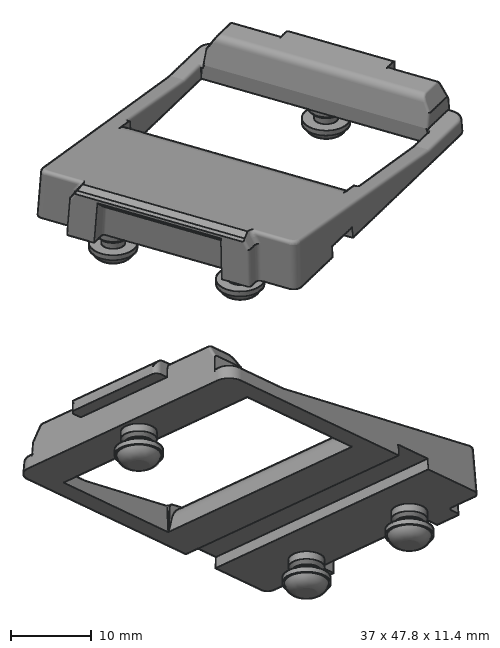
import cadquery as cq
import math

TOLERANCE = 0.005

WIDTH = 37.0
LENGTH = 47.8
DRAFT = 3.0
DRAFT_RATIO = math.tan(math.radians(DRAFT))

PLATE_FRONT = 2.0
PLATE_BACK = 46.15
FRONT_CORNER_RADIUS = 1.1
BACK_CORNER_RADIUS = 2.05
RAIL_HEIGHT = 2.0
RAMP_START = 36.3
RIDGE_Y = 1.8
RIDGE_HEIGHT = 6.75
RAMP_RATIO = (RIDGE_HEIGHT - RAIL_HEIGHT) / (RAMP_START - RIDGE_Y)
EDGE_RADIUS = 0.5

WINDOW_WIDTH = 31.95
WINDOW_FRONT = 22.05
WINDOW_BACK = 40.4
WINDOW_CORNER_RADIUS = 0.4
SILL_START = 18.95
SILL_LEAN = 14.0
SILL_RADIUS = 3.1
SILL_WIDTH = 31.65

BAR_HEIGHT = 5.9
BAR_LEAN = 1.15
BAR_FRONT_RADIUS = 1.15
BAR_BACK_RADIUS = 0.65
BAR_SHOULDER = 3.9
BAR_TOP_WIDTH = 29.05
BAR_END_RADIUS = 0.35
TAB_WIDTH = 15.0
TAB_BOTTOM = 3.85
TAB_ROOT = 44.45
TAB_CORNER_RADIUS = 0.75
TAB_TOP_RADIUS = 1.15

BUMP_WIDTH = 25.9
BUMP_TOP_WIDTH = 23.25
BUMP_SHOULDER = 5.1
BUMP_ROOT = 4.3
BUMP_FACE_HEIGHT = 6.05
BUMP_BEVEL = 0.35
BUMP_ROOT_RADIUS = 0.55
BUMP_EDGE_RADIUS = 0.4
RECESS_WIDTH = 17.95
RECESS_DEPTH = 2.3
RECESS_WALL_HEIGHT = 4.0
RECESS_ROOF_HEIGHT = 5.4
RECESS_LIP_DEPTH = 0.55
RECESS_CORNER_RADIUS = 0.35

NOTCH_FRONT = 11.2
NOTCH_BACK = 16.35
NOTCH_HEIGHT = 1.55

PIN_SPACING = 8.95
FRONT_PIN_Y = 4.85
BACK_PIN_Y = 43.3
PIN_POSITIONS = [(-PIN_SPACING, FRONT_PIN_Y), (PIN_SPACING, FRONT_PIN_Y), (0, BACK_PIN_Y)]
COLLAR_DIAMETER = 4.5
COLLAR_BEVEL = 0.5
COLLAR_BOTTOM = -1.55
SHAFT_DIAMETER = 3.0
FLANGE_DIAMETER = 6.0
FLANGE_TOP = -2.55
FLANGE_BOTTOM = -3.25
DOME_DIAMETER = 5.55
DOME_FLAT_DIAMETER = 2.7
DOME_MID_DIAMETER = 4.8
DOME_MID = -4.05
PIN_BOTTOM = -4.65


def side_prism(points, width):
    """Prism centred on X = 0 from a (Y, Z) outline."""
    return cq.Workplane("YZ").polyline(points).close().extrude(width / 2, both=True)


def end_prism(half_points, y_back):
    """Prism from Y = 0 to y_back from the right half of a symmetric (X, Z) outline."""
    mirrored = [(-x, z) for x, z in reversed(half_points)]
    return cq.Workplane("XZ").polyline(half_points + mirrored).close().extrude(-y_back)


def drafted_block(width, y_front, y_back, draft):
    """Block standing on Z = 0 whose walls lean inward, or outward for a negative draft."""
    return (
        cq.Workplane("XY", origin=(0, (y_front + y_back) / 2, 0))
        .rect(width, y_back - y_front)
        .extrude(RIDGE_HEIGHT, taper=draft)
    )


def ramp_height(y):
    """Height of the ramp surface at a given Y."""
    return RAIL_HEIGHT + RAMP_RATIO * (RAMP_START - y)


def is_on_top(edge):
    """True for an edge that stays on the top of the frame, except the line where the ramp starts."""
    middle = edge.Center()
    is_ramp_line = abs(middle.y - RAMP_START) < TOLERANCE and abs(middle.x) < WINDOW_WIDTH / 2
    return edge.BoundingBox().zmin > RAIL_HEIGHT - TOLERANCE and not is_ramp_line


def is_on_window_rim(edge):
    """True for a top edge along the sides or the front corners of the window."""
    middle = edge.Center()
    is_at_side = abs(abs(middle.x) - WINDOW_WIDTH / 2) < WINDOW_CORNER_RADIUS
    is_before_back_corners = middle.y < WINDOW_BACK
    return is_on_top(edge) and is_at_side and is_before_back_corners


def make_plate():
    """Drafted plate, level at the rear and rising as a ramp to the front ridge."""
    plate = drafted_block(WIDTH, PLATE_FRONT, PLATE_BACK, DRAFT)
    plate = plate.edges("not(#Z)").edges("<Y").fillet(FRONT_CORNER_RADIUS)
    plate = plate.edges("not(#Z)").edges(">Y").fillet(BACK_CORNER_RADIUS)
    below_top = side_prism(
        [(0, 0), (0, ramp_height(0)), (RAMP_START, RAIL_HEIGHT), (LENGTH, RAIL_HEIGHT), (LENGTH, 0)],
        WIDTH,
    )
    return plate.intersect(below_top).edges().filter(is_on_top).fillet(EDGE_RADIUS)


def cut_window(plate):
    """Cut the window, which widens upward, and round the top edges of its sides."""
    window = drafted_block(WINDOW_WIDTH, WINDOW_FRONT, WINDOW_BACK, -DRAFT)
    window = window.edges("not(#Z)").fillet(WINDOW_CORNER_RADIUS)
    return plate.cut(window).edges().filter(is_on_window_rim).fillet(EDGE_RADIUS)


def make_sill_cutter():
    """Material above a large round that leaves the ramp tangentially and ends in a leaning wall."""
    start_angle = math.atan(RAMP_RATIO)
    end_angle = math.radians(90 - SILL_LEAN)
    start_height = ramp_height(SILL_START)
    axis_y = SILL_START - SILL_RADIUS * math.sin(start_angle)
    axis_z = start_height - SILL_RADIUS * math.cos(start_angle)

    def point_on_round(angle):
        return axis_y + SILL_RADIUS * math.sin(angle), axis_z + SILL_RADIUS * math.cos(angle)

    return (
        cq.Workplane("YZ")
        .moveTo(SILL_START, start_height)
        .threePointArc(point_on_round((start_angle + end_angle) / 2), point_on_round(end_angle))
        .lineTo(WINDOW_FRONT, 0)
        .lineTo(WINDOW_FRONT, RIDGE_HEIGHT)
        .lineTo(SILL_START, RIDGE_HEIGHT)
        .close()
        .extrude(SILL_WIDTH / 2, both=True)
    )


def is_bar_corner(edge):
    """True for the outline edges of the bar ends above the rails."""
    middle = edge.Center()
    is_shoulder_line = abs(middle.z - BAR_SHOULDER) < TOLERANCE
    is_at_end = abs(middle.x) > TAB_WIDTH / 2
    return is_at_end and edge.BoundingBox().zmin > RAIL_HEIGHT - TOLERANCE and not is_shoulder_line


def make_bar():
    """Raised bar across the rear, with slanted ends and a rounded top."""
    foot_y = WINDOW_BACK + DRAFT_RATIO * RAIL_HEIGHT
    profile = side_prism(
        [
            (WINDOW_BACK, 0),
            (foot_y, RAIL_HEIGHT),
            (foot_y + BAR_LEAN, BAR_HEIGHT),
            (PLATE_BACK - DRAFT_RATIO * BAR_HEIGHT, BAR_HEIGHT),
            (PLATE_BACK, 0),
        ],
        WIDTH,
    )
    ends = end_prism(
        [
            (WINDOW_WIDTH / 2, 0),
            (WINDOW_WIDTH / 2 - DRAFT_RATIO * BAR_SHOULDER, BAR_SHOULDER),
            (BAR_TOP_WIDTH / 2, BAR_HEIGHT),
        ],
        LENGTH,
    )
    bar = profile.intersect(ends)
    bar = bar.faces(">Z").edges("<Y").fillet(BAR_FRONT_RADIUS)
    bar = bar.faces(">Z").edges(">Y").fillet(BAR_BACK_RADIUS)
    return bar.edges().filter(is_bar_corner).fillet(BAR_END_RADIUS)


def make_tab():
    """Lip that overhangs the back of the bar."""
    middle_y = (TAB_ROOT + LENGTH) / 2
    outline = cq.Workplane("XY", origin=(0, middle_y, TAB_BOTTOM)).rect(TAB_WIDTH, LENGTH - TAB_ROOT)
    block = outline.extrude(BAR_HEIGHT - TAB_BOTTOM)
    with_round_top = block.faces(">Z").edges(">Y").fillet(TAB_TOP_RADIUS)
    with_round_corners = block.edges("|Z and >Y").fillet(TAB_CORNER_RADIUS)
    return with_round_top.intersect(with_round_corners)


def is_bump_front_corner(edge):
    """True for the edges of the front face that rise from the underside to the bevel."""
    box = edge.BoundingBox()
    rises = box.zmax - box.zmin > BUMP_BEVEL + TOLERANCE
    return rises and box.ymax < DRAFT_RATIO * BUMP_FACE_HEIGHT + TOLERANCE


def make_bump():
    """Drafted bump at the front edge, with a bevelled ridge and slanted shoulders."""
    face_top_y = DRAFT_RATIO * BUMP_FACE_HEIGHT
    profile = side_prism(
        [
            (0, 0),
            (face_top_y, BUMP_FACE_HEIGHT),
            (face_top_y + BUMP_BEVEL, BUMP_FACE_HEIGHT + BUMP_BEVEL),
            (RIDGE_Y, RIDGE_HEIGHT),
            (BUMP_ROOT, ramp_height(BUMP_ROOT)),
            (BUMP_ROOT, 0),
        ],
        WIDTH,
    )
    ends = end_prism(
        [
            (BUMP_WIDTH / 2, 0),
            (BUMP_WIDTH / 2 - DRAFT_RATIO * BUMP_SHOULDER, BUMP_SHOULDER),
            (BUMP_TOP_WIDTH / 2, RIDGE_HEIGHT),
        ],
        BUMP_ROOT,
    )
    bump = profile.intersect(ends)
    return bump.edges().filter(is_bump_front_corner).fillet(BUMP_EDGE_RADIUS)


def make_recess_cutter():
    """Recess in the front of the bump, its roof rising toward the mouth."""
    profile = side_prism(
        [
            (0, 0),
            (RECESS_DEPTH, 0),
            (RECESS_DEPTH, RECESS_WALL_HEIGHT),
            (RECESS_LIP_DEPTH, RECESS_ROOF_HEIGHT),
            (0, RECESS_ROOF_HEIGHT + RECESS_LIP_DEPTH),
        ],
        RECESS_WIDTH,
    )
    sides = end_prism(
        [
            (RECESS_WIDTH / 2, 0),
            (RECESS_WIDTH / 2 - DRAFT_RATIO * RIDGE_HEIGHT, RIDGE_HEIGHT),
        ],
        RECESS_DEPTH,
    )
    recess = profile.intersect(sides)
    return recess.faces(">Y").edges("not |X").fillet(RECESS_CORNER_RADIUS)


def make_notch_cutter():
    """Shallow notch across the whole underside."""
    return side_prism(
        [(NOTCH_FRONT, 0), (NOTCH_FRONT, NOTCH_HEIGHT), (NOTCH_BACK, NOTCH_HEIGHT), (NOTCH_BACK, 0)],
        WIDTH,
    )


def is_bump_root(edge):
    """True for the edges where the sides of the bump meet the front of the plate."""
    middle = edge.Center()
    is_at_bump_side = BUMP_TOP_WIDTH / 2 < abs(middle.x) < BUMP_WIDTH / 2
    box = edge.BoundingBox()
    plate_front_top = PLATE_FRONT + DRAFT_RATIO * RIDGE_HEIGHT + EDGE_RADIUS
    is_on_plate_front = box.ymin > PLATE_FRONT - TOLERANCE and box.ymax < plate_front_top + TOLERANCE
    return is_at_bump_side and is_on_plate_front


def make_housing():
    """Frame with its window, rear bar and tab, front bump and underside notch."""
    housing = cut_window(make_plate()).cut(make_sill_cutter())
    housing = housing.union(make_bar()).union(make_tab()).union(make_bump())
    housing = housing.edges().filter(is_bump_root).fillet(BUMP_ROOT_RADIUS)
    return housing.cut(make_recess_cutter()).cut(make_notch_cutter())


def make_pin(x, y):
    """Turned pin hanging from the housing: collar, shaft, flange and domed head."""
    collar_radius = COLLAR_DIAMETER / 2
    return (
        cq.Workplane("XZ")
        .moveTo(0, 0)
        .lineTo(collar_radius, 0)
        .lineTo(collar_radius, COLLAR_BOTTOM + COLLAR_BEVEL)
        .lineTo(collar_radius - COLLAR_BEVEL, COLLAR_BOTTOM)
        .lineTo(SHAFT_DIAMETER / 2, COLLAR_BOTTOM)
        .lineTo(SHAFT_DIAMETER / 2, FLANGE_TOP)
        .lineTo(FLANGE_DIAMETER / 2, FLANGE_TOP)
        .lineTo(FLANGE_DIAMETER / 2, FLANGE_BOTTOM)
        .lineTo(DOME_DIAMETER / 2, FLANGE_BOTTOM)
        .threePointArc((DOME_MID_DIAMETER / 2, DOME_MID), (DOME_FLAT_DIAMETER / 2, PIN_BOTTOM))
        .lineTo(0, PIN_BOTTOM)
        .close()
        .revolve(360, (0, 0), (0, 1))
        .translate((x, y, 0))
    )


housing = make_housing()
pins = [make_pin(x, y) for x, y in PIN_POSITIONS]
result = cq.Compound.makeCompound([housing.val(), *[pin.val() for pin in pins]])